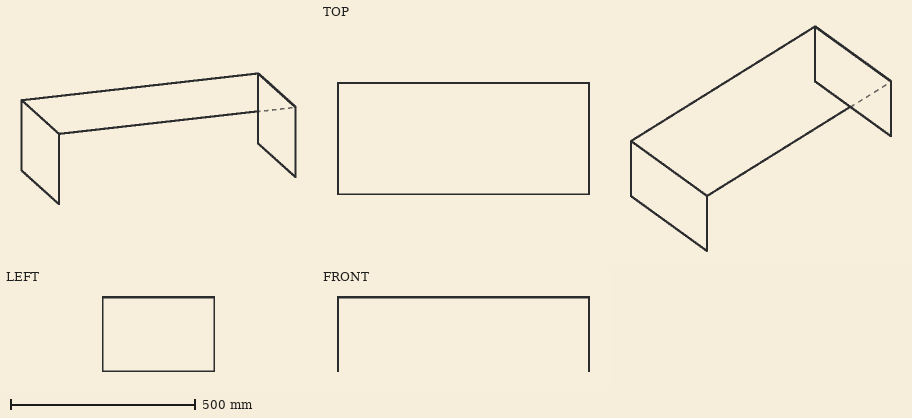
import cadquery as cq

sheet_thickness = 1.5
cover_length = 683.0
cover_depth = 303.0
cover_height = 201.5

top_length = cover_length - 2 * sheet_thickness


def make_top_sheet():
    """Flat sheet fitted between the side sheets, flush with their upper edges."""
    return cq.Workplane("XY").box(
        top_length, cover_depth, sheet_thickness, centered=(True, True, False)
    ).translate((0, 0, cover_height - sheet_thickness))


def make_side_sheet(end):
    """Upright sheet standing against one end of the top; end is -1 (left) or +1 (right)."""
    center_x = end * (top_length + sheet_thickness) / 2
    return cq.Workplane("XY").box(
        sheet_thickness, cover_depth, cover_height, centered=(True, True, False)
    ).translate((center_x, 0, 0))


top_sheet = make_top_sheet()
side_sheets = [make_side_sheet(end) for end in (-1, 1)]

result = cq.Compound.makeCompound(
    [top_sheet.val(), *[sheet.val() for sheet in side_sheets]]
)